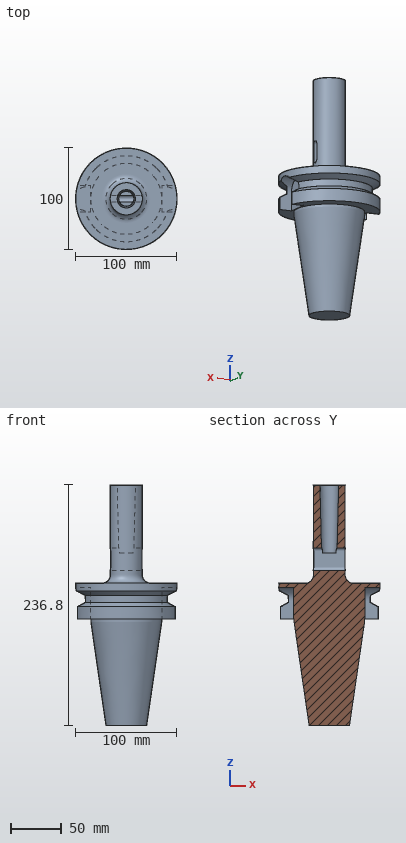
import cadquery as cq
import math

total_height = 236.8
cone_length = 101.8
cone_large_radius = 34.93
cone_taper = 7 / 24
cone_small_radius = cone_large_radius - cone_length * cone_taper / 2
collar_height = 2.8

flange_radius = 50.0
flange_height = 35.5
groove_floor_radius = 42.5
groove_floor_width = 6.9
groove_center_height = 20.1
groove_flank_angle = 30.0

keyway_width = 26.0
keyway_height = 31.0
keyway_floor_distance = 35.3

neck_radius = 15.9
neck_fillet = 8.0
socket_mouth_radius = 9.0
socket_end_radius = 7.3
socket_depth = 67.0
slot_width = 6.5
slot_length = 22.0
slot_bottom_above_flange = 12.5

flange_bottom = cone_length + collar_height
flange_top = flange_bottom + flange_height


def turned_body():
    groove_center = flange_bottom + groove_center_height
    half_floor = groove_floor_width / 2
    flank_rise = (flange_radius - groove_floor_radius) * math.tan(math.radians(groove_flank_angle))
    half_mouth = half_floor + flank_rise
    return (
        cq.Workplane("XZ")
        .lineTo(cone_small_radius, 0)
        .lineTo(cone_large_radius, cone_length)
        .lineTo(cone_large_radius, flange_bottom)
        .lineTo(flange_radius, flange_bottom)
        .lineTo(flange_radius, groove_center - half_mouth)
        .lineTo(groove_floor_radius, groove_center - half_floor)
        .lineTo(groove_floor_radius, groove_center + half_floor)
        .lineTo(flange_radius, groove_center + half_mouth)
        .lineTo(flange_radius, flange_top)
        .lineTo(neck_radius + neck_fillet, flange_top)
        .radiusArc((neck_radius, flange_top + neck_fillet), neck_fillet)
        .lineTo(neck_radius, total_height)
        .lineTo(0, total_height)
        .close()
        .revolve(360, (0, 0), (0, 1))
    )


def keyway(side):
    """Round-topped keyway cutter, open at the flange underside; side is -1 or +1 along X."""
    half_width = keyway_width / 2
    arc_start = flange_bottom + keyway_height - half_width
    return (
        cq.Workplane("YZ", origin=(side * keyway_floor_distance, 0, 0))
        .moveTo(-half_width, flange_bottom)
        .lineTo(half_width, flange_bottom)
        .lineTo(half_width, arc_start)
        .threePointArc((0, flange_bottom + keyway_height), (-half_width, arc_start))
        .close()
        .extrude(side * flange_radius)
    )


def socket():
    socket_end = total_height - socket_depth
    return (
        cq.Workplane("XZ", origin=(0, 0, socket_end))
        .lineTo(socket_end_radius, 0)
        .lineTo(socket_mouth_radius, socket_depth)
        .lineTo(0, socket_depth)
        .close()
        .revolve(360, (0, 0), (0, 1))
    )


def drift_slot():
    slot_center = flange_top + slot_bottom_above_flange + slot_length / 2
    return (
        cq.Workplane("YZ", origin=(0, 0, slot_center))
        .slot2D(slot_length, slot_width, 90)
        .extrude(neck_radius * 2, both=True)
    )


result = turned_body().cut(socket()).cut(drift_slot())
for side in (-1, 1):
    result = result.cut(keyway(side))